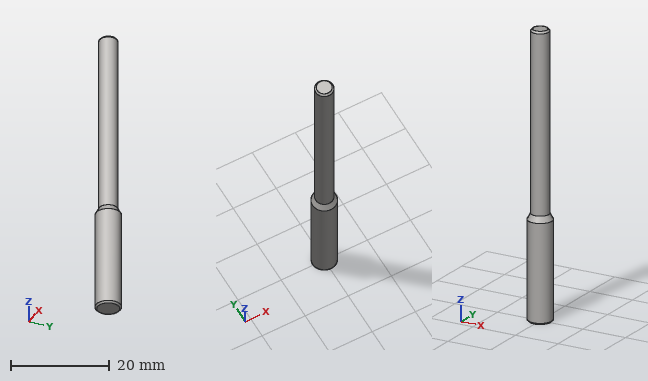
import cadquery as cq

total_length = 63.0
head_diameter = 5.4
head_length = 21.9
head_chamfer = 0.4
shank_diameter = 4.0
shank_chamfer_width = 0.4
shank_chamfer_height = 0.45
cone_length = 1.3

head_radius = head_diameter / 2
shank_radius = shank_diameter / 2
cone_top = head_length + cone_length


def make_head():
    """Cylindrical working head with a chamfered lower edge."""
    return (
        cq.Workplane("XY")
        .circle(head_radius)
        .extrude(head_length)
        .faces("<Z")
        .chamfer(head_chamfer)
    )


def make_shank():
    """Round shank that flares into a cone seated on the head and has a chamfered upper end."""
    return (
        cq.Workplane("XZ")
        .moveTo(0, head_length)
        .lineTo(head_radius, head_length)
        .lineTo(shank_radius, cone_top)
        .lineTo(shank_radius, total_length - shank_chamfer_height)
        .lineTo(shank_radius - shank_chamfer_width, total_length)
        .lineTo(0, total_length)
        .close()
        .revolve(360, (0, 0, 0), (0, 1, 0))
    )


head = make_head()
shank = make_shank()

result = cq.Compound.makeCompound([head.val(), shank.val()])